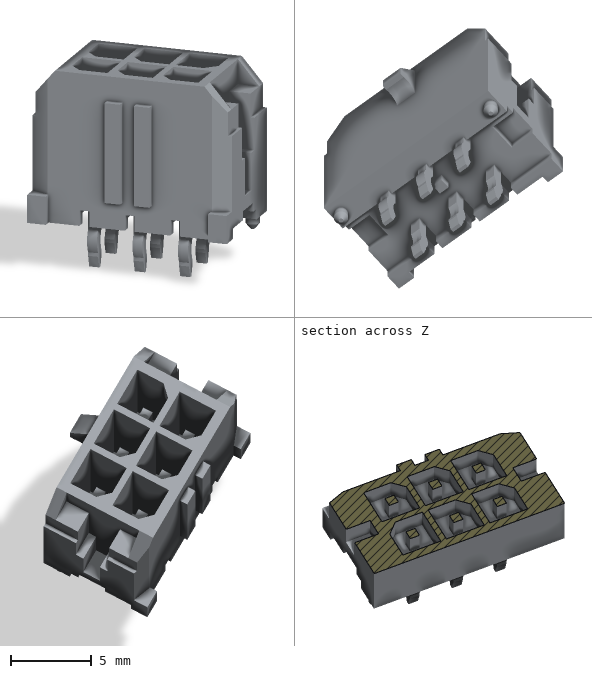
import cadquery as cq


width = 13.15
depth = 6.85
height = 9.92
core_width = 9.86
side_wall = (width - core_width) / 2
shoulder_width = 12.68
shoulder_z = 8.28
step_z = 6.73
corner_inset_x = 1.16
corner_inset_y = 0.45

front_gusset = 0.97
rear_gusset = 0.72
groove_centre_y = 3.45
groove_width = 2.22
groove_z = 4.62
key_width = 1.17
key_z = 2.15

front_projection = 0.51
foot_width = 1.22
foot_height = 1.83
rib_width = 1.03
rib_spacing = 1.93
rib_top_z = 8.32

latch_width = 1.42
latch_reach = 1.41
latch_top_z = 9.34
latch_tip_top_z = 7.7
latch_tip_bottom_z = 6.97
latch_root_z = 6.47
latch_flat = 0.33
latch_arc_bulge = (0.79, 7.01)

pitch = 3.0
columns = (-pitch, 0, pitch)
front_row_y = 1.95
rear_row_y = front_row_y + pitch
cavity_size = 2.58
cavity_chamfer = 0.72
cavity_floor_z = 2.15
pin_size = 0.66
pin_top_z = 6.58
pin_bend_top_z = -0.7
pin_bend_bottom_z = -2.18
pin_bend = 0.2
pin_taper_z = -2.42
pin_tip_z = -3.17
pin_tip_size = 0.24

channel_front_y = 0.63
channel_rear_y = 5
channel_height = 0.68
slot_top_z = 1.01
notch_width = 1.9
notch_top_z = 1.26
post_size = 0.68

peg_x = 6.0
peg_y = 5.88
peg_diameter = 0.9
peg_tip_diameter = 0.29
peg_shoulder_z = -0.53
peg_tip_z = -0.9


def box(x_range, y_range, z_range):
    """Box spanning the given pairs of limits."""
    (x0, x1), (y0, y1), (z0, z1) = x_range, y_range, z_range
    return cq.Workplane("XY").box(x1 - x0, y1 - y0, z1 - z0, centered=False).translate((x0, y0, z0))


def around(centre, size):
    """Limits of a span centred on a position."""
    return centre - size / 2, centre + size / 2


def side_box(side, x_range, y_range, z_range):
    """Box placed by its distance from the X = 0 plane, on side +1 or -1."""
    return box(sorted(side * x for x in x_range), y_range, z_range)


def make_shell():
    half = width / 2
    half_core = core_width / 2
    half_shoulder = shoulder_width / 2
    outline = [
        (-half, 0),
        (half, 0),
        (half, step_z),
        (half_shoulder, step_z),
        (half_shoulder, shoulder_z),
        (half_core, height),
        (-half_core, height),
        (-half_shoulder, shoulder_z),
        (-half_shoulder, step_z),
        (-half, step_z),
    ]
    shell = cq.Workplane("XZ").polyline(outline).close().extrude(-depth)
    for side in (-1, 1):
        shell = shell.cut(make_side_relief(side))
        shell = shell.cut(make_corner_cut(side))
    return shell


def make_side_relief(side):
    """Pocket between the gussets, T-shaped groove and the notch at the bottom edge."""
    wall = (width / 2 - side_wall, width / 2)
    pocket = side_box(side, wall, (front_gusset, depth - rear_gusset), (shoulder_z, height))
    groove = side_box(side, wall, around(groove_centre_y, groove_width), (groove_z, height))
    key = side_box(side, wall, around(groove_centre_y, key_width), (key_z, height))
    notch = side_box(side, wall, around(groove_centre_y, notch_width), (0, notch_top_z))
    return pocket.union(groove).union(key).union(notch)


def make_corner_cut(side):
    """Wedge that bevels a front corner above the foot."""
    corner = side * width / 2
    return (
        cq.Workplane("XY", origin=(0, 0, foot_height))
        .polyline([(corner, 0), (corner - side * corner_inset_x, 0), (corner, corner_inset_y)])
        .close()
        .extrude(height - foot_height)
    )


def make_foot(side):
    half = width / 2
    return side_box(side, (half - foot_width, half), (-front_projection, 0), (0, foot_height))


def make_rib(side):
    rib_x = around(side * rib_spacing / 2, rib_width)
    return box(rib_x, (-front_projection, 0), (foot_height, rib_top_z))


def make_latch():
    tip_y = depth + latch_reach
    bulge_offset, bulge_z = latch_arc_bulge
    return (
        cq.Workplane("YZ", origin=(-latch_width / 2, 0, 0))
        .moveTo(depth, latch_top_z)
        .lineTo(tip_y, latch_tip_top_z)
        .lineTo(tip_y, latch_tip_bottom_z)
        .lineTo(tip_y - latch_flat, latch_tip_bottom_z)
        .threePointArc((tip_y - bulge_offset, bulge_z), (depth, latch_root_z))
        .close()
        .extrude(latch_width)
    )


def make_cavity(x, y, cut_side):
    """Square cavity with its front corner on side +1 or -1 cut off."""
    half = cavity_size / 2
    outline = [
        (x - cut_side * half, y - half),
        (x + cut_side * (half - cavity_chamfer), y - half),
        (x + cut_side * half, y - half + cavity_chamfer),
        (x + cut_side * half, y + half),
        (x - cut_side * half, y + half),
    ]
    base = cq.Workplane("XY", origin=(0, 0, cavity_floor_z))
    return base.polyline(outline).close().extrude(height - cavity_floor_z)


def make_pin(x, y, bend_side):
    """Square contact whose tail bows towards +Y or -Y and ends in a tapered tip."""
    half = pin_size / 2
    half_tip = pin_tip_size / 2
    bow = bend_side * pin_bend
    bow_z = (pin_bend_top_z + pin_bend_bottom_z) / 2
    return (
        cq.Workplane("YZ", origin=(x - half, y, 0))
        .moveTo(-half, pin_top_z)
        .lineTo(-half, pin_bend_top_z)
        .threePointArc((bow - half, bow_z), (-half, pin_bend_bottom_z))
        .lineTo(-half, pin_taper_z)
        .lineTo(-half_tip, pin_tip_z)
        .lineTo(half_tip, pin_tip_z)
        .lineTo(half, pin_taper_z)
        .lineTo(half, pin_bend_bottom_z)
        .threePointArc((bow + half, bow_z), (half, pin_bend_top_z))
        .lineTo(half, pin_top_z)
        .close()
        .extrude(pin_size)
    )


def make_peg(side):
    radius = peg_diameter / 2
    profile = [
        (0, 0),
        (radius, 0),
        (radius, peg_shoulder_z),
        (peg_tip_diameter / 2, peg_tip_z),
        (0, peg_tip_z),
    ]
    peg = cq.Workplane("XZ").polyline(profile).close().revolve(360, (0, 0), (0, 1))
    return peg.translate((side * peg_x, peg_y, 0))


housing = make_shell()
channel_x = around(0, width)
housing = housing.cut(box(channel_x, (channel_front_y, channel_rear_y), (0, channel_height)))
for column_x in columns:
    housing = housing.cut(box(around(column_x, pin_size), (0, front_row_y), (0, slot_top_z)))

for side in (-1, 1):
    housing = housing.union(make_foot(side))
    housing = housing.union(make_rib(side))
    housing = housing.union(make_peg(side))
housing = housing.union(make_latch())
post_y = around(groove_centre_y, post_size)
housing = housing.union(box(around(0, post_size), post_y, (0, channel_height)))

for column_x in columns:
    rear_cut_side = 1 if column_x == columns[-1] else -1
    housing = housing.cut(make_cavity(column_x, front_row_y, -1))
    housing = housing.cut(make_cavity(column_x, rear_row_y, rear_cut_side))

for column_x in columns:
    housing = housing.union(make_pin(column_x, front_row_y, -1))
    housing = housing.union(make_pin(column_x, rear_row_y, 1))

result = housing